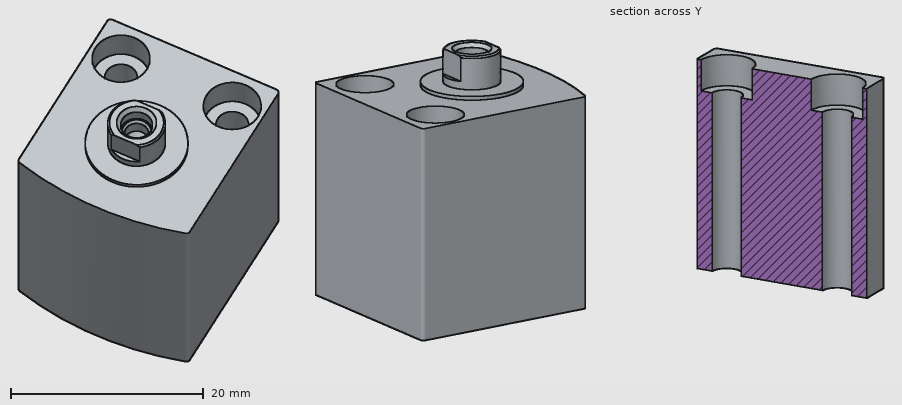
import cadquery as cq
import math

width = 20.0
depth = 21.95
total_height = 27.0
housing_height = 23.0
rod_center_to_back = 13.0
side_length = 20.52
corner_radius = 0.4

hole_spacing = 13.01
hole_center_to_back = 4.0
hole_diameter = 3.4
counterbore_diameter = 6.0
counterbore_depth = 3.4

collar_diameter = 10.7
collar_height = 0.4
rod_diameter = 6.0
rod_embed_depth = 6.0
rod_chamfer = 0.2
flat_width = 5.0
flat_length = 2.75

mouth_diameter = 4.13
entry_diameter = 3.3
entry_depth = 1.6
pilot_mouth_diameter = 3.0
pilot_diameter = 2.45
pilot_depth = 3.25
drill_point_angle = 118.0

back_y = rod_center_to_back
front_y = back_y - depth
side_front_y = back_y - side_length
hole_y = back_y - hole_center_to_back
collar_top = housing_height + collar_height
rod_bottom = collar_top - rod_embed_depth
rod_length = total_height - rod_bottom


def make_housing():
    """Block with a bowed front, counterbored mounting holes and a collar around the rod bore."""
    half_width = width / 2
    body = (
        cq.Workplane("XY")
        .moveTo(-half_width, back_y)
        .lineTo(half_width, back_y)
        .lineTo(half_width, side_front_y)
        .threePointArc((0, front_y), (-half_width, side_front_y))
        .close()
        .extrude(housing_height)
        .edges("|Z")
        .fillet(corner_radius)
    )

    collar = (
        cq.Workplane("XY", origin=(0, 0, housing_height))
        .circle(collar_diameter / 2)
        .extrude(collar_height)
    )
    mounting_holes = (
        cq.Workplane("XY", origin=(0, 0, housing_height))
        .pushPoints([(side * hole_spacing / 2, hole_y) for side in (-1, 1)])
    )
    through_holes = mounting_holes.circle(hole_diameter / 2).extrude(-housing_height)
    counterbores = mounting_holes.circle(counterbore_diameter / 2).extrude(-counterbore_depth)
    rod_bore = (
        cq.Workplane("XY", origin=(0, 0, rod_bottom))
        .circle(rod_diameter / 2)
        .extrude(rod_embed_depth)
    )
    return body.union(collar).cut(through_holes).cut(counterbores).cut(rod_bore)


def make_rod_hole():
    """Revolved stepped hole: 45-degree mouth, entry bore, countersunk pilot bore and drill point."""
    mouth_radius = mouth_diameter / 2
    entry_radius = entry_diameter / 2
    pilot_radius = pilot_diameter / 2
    pilot_mouth_radius = pilot_mouth_diameter / 2
    pilot_mouth_bottom = entry_depth + pilot_mouth_radius - pilot_radius
    mouth_depth = mouth_radius - entry_radius
    point_depth = pilot_radius / math.tan(math.radians(drill_point_angle / 2))
    return (
        cq.Workplane("XZ", origin=(0, 0, total_height))
        .moveTo(0, 0)
        .lineTo(mouth_radius, 0)
        .lineTo(entry_radius, -mouth_depth)
        .lineTo(entry_radius, -entry_depth)
        .lineTo(pilot_mouth_radius, -entry_depth)
        .lineTo(pilot_radius, -pilot_mouth_bottom)
        .lineTo(pilot_radius, -pilot_depth)
        .lineTo(0, -pilot_depth - point_depth)
        .close()
        .revolve(360, (0, 0, 0), (0, 1, 0))
    )


def make_rod():
    """Round rod with a chamfered end, two wrench flats facing +Y and -Y, and a blind end hole."""
    rod = (
        cq.Workplane("XY", origin=(0, 0, rod_bottom))
        .circle(rod_diameter / 2)
        .extrude(rod_length)
        .faces(">Z")
        .chamfer(rod_chamfer)
    )
    flat_zone = cq.Workplane("XY", origin=(0, 0, total_height)).rect(rod_diameter, rod_diameter)
    across_flats = cq.Workplane("XY", origin=(0, 0, total_height)).rect(rod_diameter, flat_width)
    flat_cuts = flat_zone.extrude(-flat_length).cut(across_flats.extrude(-flat_length))
    return rod.cut(flat_cuts).cut(make_rod_hole())


housing = make_housing()
rod = make_rod()
result = cq.Compound.makeCompound([housing.val(), rod.val()])